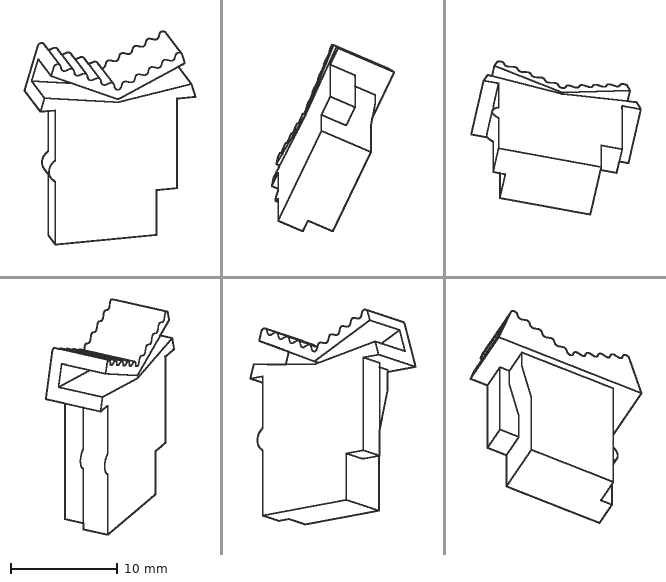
import cadquery as cq
import math


CAP_WIDTH = 5.8
CAP_HALF_LENGTH = 15.1 / 2
CAP_HEIGHT = 4.63
WAVE_RADIUS = 0.32
END_CREST_RADIUS = 0.37
WAVE_COUNT = 5
WAVE_PITCH = 1.3
WAVE_RISE = 0.596
CREST_OFFSET_Y = 0.7
CREST_OFFSET_Z = 0.12

SLOT_DEPTH = 4.65
SLOT_CEILING_SLOPE = WAVE_RISE / WAVE_PITCH
SLOT_CEILING_MID_Z = 0.51
SLOT_FLOOR_SLOPE = 0.157
SLOT_FLOOR_MID_Z = 0.22

BODY_HEIGHT = 13.5
BODY_WIDTH = 5.12
BODY_FRONT_Y = -4.93
BODY_TOP_BACK_Y = 4.75
BODY_BACK_Y = 3.75
TAPER_TOP_Z = -2.0
TAPER_BOTTOM_Z = -6.0

TONGUE_WIDTH = 2.56
TONGUE_FRONT_Y = -6.1
TONGUE_BACK_Y = 5.75
TONGUE_BACK_BOTTOM_Z = -9.0

BUMP_RADIUS = 1.2
BUMP_PROJECTION = 0.62
BUMP_Z = -6.1
BUMP_FILLET = 0.25


def extrude_from_flat_side(profile, width):
    """Extrude a closed YZ profile from the flat side (x = 0) toward -X."""
    return profile.close().extrude(-width)


def wave_centers():
    """Circle centres of the grip on the +Y half, from the middle trough to the end crest."""
    end_crest_z = CAP_HEIGHT - WAVE_RADIUS
    middle_trough_z = end_crest_z - CREST_OFFSET_Z - (WAVE_COUNT - 1) * WAVE_RISE
    centers = []
    for i in range(WAVE_COUNT):
        y = i * WAVE_PITCH
        z = middle_trough_z + i * WAVE_RISE
        centers.append((y, z))
        centers.append((y + CREST_OFFSET_Y, z + CREST_OFFSET_Z))
    return centers


def point_on_circle(center, radius, angle):
    return (
        center[0] + radius * math.cos(angle),
        center[1] + radius * math.sin(angle),
    )


def crossing_tangent_angle(start, end, start_is_crest):
    """Angle, seen from the start circle, at which the line crossing over to the end circle touches it."""
    distance = math.dist(start, end)
    direction = math.atan2(end[1] - start[1], end[0] - start[0])
    spread = math.acos(2 * WAVE_RADIUS / distance)
    return direction + spread if start_is_crest else direction - spread


def arc_points(center, radius, start_angle, end_angle):
    """Start, middle and end points of an arc."""
    middle_angle = (start_angle + end_angle) / 2
    return [point_on_circle(center, radius, angle) for angle in (start_angle, middle_angle, end_angle)]


def half_grip_arcs():
    """Arcs of the +Y half of the grip, from the middle trough to the top of the end crest."""
    centers = wave_centers()
    arcs = []
    entry_angle = -math.pi / 2
    for i in range(len(centers) - 1):
        is_crest = i % 2 == 1
        exit_angle = crossing_tangent_angle(centers[i], centers[i + 1], is_crest)
        arcs.append(arc_points(centers[i], WAVE_RADIUS, entry_angle, exit_angle))
        half_turn = -math.pi if is_crest else math.pi
        entry_angle = exit_angle + half_turn
    arcs.append(arc_points(centers[-1], WAVE_RADIUS, entry_angle, math.pi / 2))
    return arcs


def end_crest_arc(crest_top):
    """Arc from the top of the end crest to where the straight flank to the base corner touches it."""
    center = (crest_top[0], crest_top[1] - END_CREST_RADIUS)
    to_corner_y = CAP_HALF_LENGTH - center[0]
    to_corner_z = -center[1]
    to_corner = math.hypot(to_corner_y, to_corner_z)
    touch_angle = math.atan2(to_corner_z, to_corner_y) + math.acos(END_CREST_RADIUS / to_corner)
    return arc_points(center, END_CREST_RADIUS, math.pi / 2, touch_angle)


def make_cap():
    arcs = half_grip_arcs()
    middle_trough_bottom = arcs[0][0]
    crest_top = arcs[-1][-1]
    profile = cq.Workplane("YZ").moveTo(0, 0).lineTo(*middle_trough_bottom)
    profile = profile.threePointArc(*arcs[0][1:])
    for start, middle, end in arcs[1:]:
        profile = profile.lineTo(*start).threePointArc(middle, end)
    profile = profile.threePointArc(*end_crest_arc(crest_top)[1:])
    profile = profile.lineTo(CAP_HALF_LENGTH, 0)
    half = extrude_from_flat_side(profile, CAP_WIDTH)
    return half.union(half.mirror("XZ"))


def make_slot():
    ceiling_end_z = SLOT_CEILING_MID_Z + SLOT_CEILING_SLOPE * CAP_HALF_LENGTH
    floor_end_z = SLOT_FLOOR_MID_Z + SLOT_FLOOR_SLOPE * CAP_HALF_LENGTH
    profile = cq.Workplane("YZ").polyline([
        (0, SLOT_FLOOR_MID_Z),
        (CAP_HALF_LENGTH, floor_end_z),
        (CAP_HALF_LENGTH, ceiling_end_z),
        (0, SLOT_CEILING_MID_Z),
        (-CAP_HALF_LENGTH, ceiling_end_z),
        (-CAP_HALF_LENGTH, floor_end_z),
    ])
    return extrude_from_flat_side(profile, SLOT_DEPTH)


def make_body():
    profile = cq.Workplane("YZ").polyline([
        (BODY_FRONT_Y, 0),
        (BODY_TOP_BACK_Y, 0),
        (BODY_TOP_BACK_Y, TAPER_TOP_Z),
        (BODY_BACK_Y, TAPER_BOTTOM_Z),
        (BODY_BACK_Y, -BODY_HEIGHT),
        (BODY_FRONT_Y, -BODY_HEIGHT),
    ])
    return extrude_from_flat_side(profile, BODY_WIDTH)


def make_tongue():
    profile = cq.Workplane("YZ").polyline([
        (TONGUE_FRONT_Y, 0),
        (TONGUE_BACK_Y, 0),
        (TONGUE_BACK_Y, TONGUE_BACK_BOTTOM_Z),
        (BODY_BACK_Y, TONGUE_BACK_BOTTOM_Z),
        (BODY_BACK_Y, -BODY_HEIGHT),
        (TONGUE_FRONT_Y, -BODY_HEIGHT),
    ])
    tongue = extrude_from_flat_side(profile, TONGUE_WIDTH)

    bump_center_y = TONGUE_FRONT_Y - BUMP_PROJECTION + BUMP_RADIUS
    bump = (
        cq.Workplane("YZ")
        .center(bump_center_y, BUMP_Z)
        .circle(BUMP_RADIUS)
        .extrude(-TONGUE_WIDTH)
    )
    half_chord = math.sqrt(BUMP_RADIUS**2 - (BUMP_RADIUS - BUMP_PROJECTION) ** 2)
    corner_zone = cq.selectors.BoxSelector(
        (-TONGUE_WIDTH, TONGUE_FRONT_Y - BUMP_FILLET, BUMP_Z - half_chord - BUMP_FILLET),
        (0, TONGUE_FRONT_Y + BUMP_FILLET, BUMP_Z + half_chord + BUMP_FILLET),
    )
    return tongue.union(bump).edges("|X").edges(corner_zone).fillet(BUMP_FILLET)


result = make_cap().cut(make_slot()).union(make_body()).union(make_tongue())